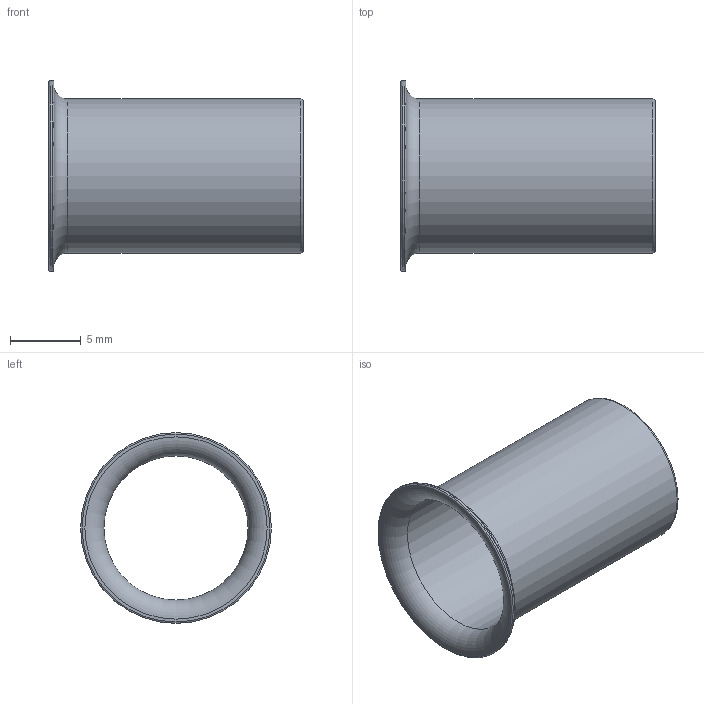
import cadquery as cq
import math

length = 18.0
wall = 0.35
bore_radius = 5.1
flange_radius = 6.75
flare_outer_radius = 1.0
flange_edge_radius = 0.1
end_edge_radius = 0.2

tube_radius = bore_radius + wall
flare_inner_radius = flare_outer_radius + wall
flare_end = wall + flare_outer_radius
flare_center_radius = tube_radius + flare_outer_radius


def flare_midpoint(bend_radius):
    """Middle of a quarter-circle bend about the flare centre, as (x, radius)."""
    offset = bend_radius * math.cos(math.radians(45))
    return flare_end - offset, flare_center_radius - offset


def make_sleeve():
    """Revolve the constant-wall tube and flare section about the X axis."""
    section = (
        cq.Workplane("XY")
        .moveTo(length, bore_radius)
        .lineTo(flare_end, bore_radius)
        .threePointArc(flare_midpoint(flare_inner_radius), (0, flare_center_radius))
        .lineTo(0, flange_radius)
        .lineTo(wall, flange_radius)
        .lineTo(wall, flare_center_radius)
        .threePointArc(flare_midpoint(flare_outer_radius), (flare_end, tube_radius))
        .lineTo(length, tube_radius)
        .close()
    )
    return section.revolve(360, (0, 0, 0), (1, 0, 0))


def round_edges(sleeve):
    """Round the flange rim and the outer edge of the plain end."""
    sleeve = sleeve.edges(cq.selectors.RadiusNthSelector(-1)).fillet(flange_edge_radius)
    return sleeve.faces(">X").edges(cq.selectors.RadiusNthSelector(-1)).fillet(end_edge_radius)


result = round_edges(make_sleeve())